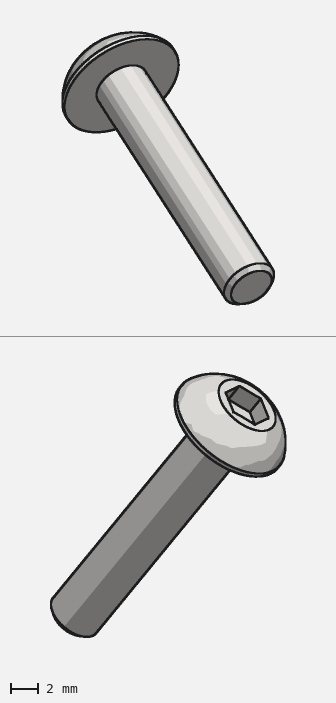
import cadquery as cq
import math

total_length = 24.0
head_diameter = 9.17
shank_diameter = 4.03

head_height = 2.57
rim_thickness = 0.35
face_diameter = 4.85
dome_bulge = 0.3

tip_chamfer = 0.38

socket_across_corners = 3.7
socket_depth = 1.5
socket_turn = 9.0


def screw_body():
    """Head and shank, revolved from a half profile of (x, radius) points."""
    head_radius = head_diameter / 2
    face_radius = face_diameter / 2
    shank_radius = shank_diameter / 2
    dome_length = head_height - rim_thickness
    dome_rise = head_radius - face_radius
    chord = math.hypot(dome_length, dome_rise)
    dome_middle = (
        dome_length / 2 - dome_bulge * dome_rise / chord,
        (face_radius + head_radius) / 2 + dome_bulge * dome_length / chord,
    )
    profile = (
        cq.Workplane("XY")
        .moveTo(0, 0)
        .lineTo(0, face_radius)
        .threePointArc(dome_middle, (dome_length, head_radius))
        .lineTo(head_height, head_radius)
        .lineTo(head_height, shank_radius)
        .lineTo(total_length - tip_chamfer, shank_radius)
        .lineTo(total_length, shank_radius - tip_chamfer)
        .lineTo(total_length, 0)
        .close()
    )
    return profile.revolve(360, (0, 0, 0), (1, 0, 0))


def hex_socket():
    """Hexagonal prism sunk into the flat face of the head."""
    return (
        cq.Workplane("YZ")
        .polygon(6, socket_across_corners)
        .extrude(socket_depth)
        .rotate((0, 0, 0), (1, 0, 0), socket_turn)
    )


result = screw_body().cut(hex_socket())